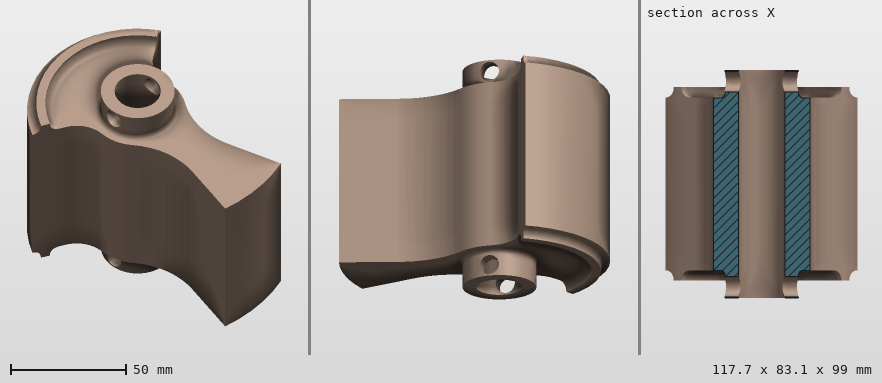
import cadquery as cq
import math

drum_radius = 48.0
drum_half_angle = 60
arm_radius = 69.7
arm_half_angle = 15
hub_radius = 21.0
drum_blend_radius = 15.0
arm_blend_radius = 35.0

body_height = 75.0
total_height = 99.0
rim_height = 4.5

rim_fillet = 4.0
rim_outer_radius = drum_radius - rim_fillet
rim_inner_radius = 40.0
rim_floor_radius = rim_inner_radius - rim_fillet

collar_radius = 32.0 / 2
collar_fillet = 2.0
bore_diameter = 20.0
pin_diameter = 8.6
pin_end_distance = 5.1

half_body = body_height / 2
half_total = total_height / 2


def polar(radius, degrees):
    angle = math.radians(degrees)
    return (radius * math.cos(angle), radius * math.sin(angle))


def mirrored(point):
    return (point[0], -point[1])


def hub_blend(ray_angle, blend_radius, side):
    """Points on the ray, mid-arc and hub of an arc tangent to a radial line and the hub.

    The arc lies on the given side (+1 counterclockwise, -1 clockwise) of the ray.
    """
    centre_distance = hub_radius + blend_radius
    ray_length = math.sqrt(centre_distance**2 - blend_radius**2)
    swing = math.degrees(math.atan2(blend_radius, ray_length))
    centre_angle = ray_angle + side * swing
    centre = polar(centre_distance, centre_angle)
    mid_angle = centre_angle + 180 + side * (90 - swing) / 2
    mid_offset = polar(blend_radius, mid_angle)
    middle = (centre[0] + mid_offset[0], centre[1] + mid_offset[1])
    return polar(ray_length, ray_angle), middle, polar(hub_radius, centre_angle), centre_angle


def make_body():
    drum_angle = 180 - drum_half_angle
    arm_foot, arm_mid, arm_hub, arm_hub_angle = hub_blend(arm_half_angle, arm_blend_radius, 1)
    drum_foot, drum_mid, drum_hub, drum_hub_angle = hub_blend(drum_angle, drum_blend_radius, -1)
    hub_mid = polar(hub_radius, (arm_hub_angle + drum_hub_angle) / 2)
    arm_corner = polar(arm_radius, arm_half_angle)
    drum_corner = polar(drum_radius, drum_angle)
    outline = (
        cq.Workplane("XY", origin=(0, 0, -half_body))
        .moveTo(*arm_corner)
        .lineTo(*arm_foot)
        .threePointArc(arm_mid, arm_hub)
        .threePointArc(hub_mid, drum_hub)
        .threePointArc(drum_mid, drum_foot)
        .lineTo(*drum_corner)
        .threePointArc((-drum_radius, 0), mirrored(drum_corner))
        .lineTo(*mirrored(drum_foot))
        .threePointArc(mirrored(drum_mid), mirrored(drum_hub))
        .threePointArc(mirrored(hub_mid), mirrored(arm_hub))
        .threePointArc(mirrored(arm_mid), mirrored(arm_foot))
        .lineTo(*mirrored(arm_corner))
        .threePointArc((arm_radius, 0), arm_corner)
        .close()
    )
    return outline.extrude(body_height)


def fillet_middle(wall_radius, fillet, outward):
    """Middle of a concave quarter arc between a vertical wall and the body's top face."""
    inset = fillet * (1 - math.sqrt(0.5))
    return (wall_radius + outward * inset, half_body + inset)


def make_rim():
    """Top rim: a raised ring sector with a concave fillet on both flanks."""
    fillet_top = half_body + rim_fillet
    rim_top = half_body + rim_height
    profile = (
        cq.Workplane("XZ")
        .moveTo(rim_floor_radius, 0)
        .lineTo(rim_floor_radius, half_body)
        .threePointArc(fillet_middle(rim_inner_radius, rim_fillet, -1), (rim_inner_radius, fillet_top))
        .lineTo(rim_inner_radius, rim_top)
        .lineTo(rim_outer_radius, rim_top)
        .lineTo(rim_outer_radius, fillet_top)
        .threePointArc(fillet_middle(rim_outer_radius, rim_fillet, 1), (drum_radius, half_body))
        .lineTo(drum_radius, 0)
        .close()
    )
    sector = profile.revolve(2 * drum_half_angle, (0, 0, 0), (0, 1, 0))
    return sector.rotate((0, 0, 0), (0, 0, 1), 180 - drum_half_angle)


def make_collar():
    """Top collar with a concave fillet at its foot."""
    foot_radius = collar_radius + collar_fillet
    return (
        cq.Workplane("XZ")
        .lineTo(foot_radius, 0)
        .lineTo(foot_radius, half_body)
        .threePointArc(
            fillet_middle(collar_radius, collar_fillet, 1),
            (collar_radius, half_body + collar_fillet),
        )
        .lineTo(collar_radius, half_total)
        .lineTo(0, half_total)
        .close()
        .revolve(360, (0, 0, 0), (0, 1, 0))
    )


def make_pin_hole():
    """Cross hole along Y through the top collar."""
    height = half_total - pin_end_distance
    return cq.Workplane("XZ").center(0, height).circle(pin_diameter / 2).extrude(collar_radius * 2, both=True)


result = make_body()
for feature in (make_rim(), make_collar()):
    result = result.union(feature).union(feature.mirror("XY"))

bore = cq.Workplane("XY").circle(bore_diameter / 2).extrude(total_height, both=True)
result = result.cut(bore)
pin_hole = make_pin_hole()
result = result.cut(pin_hole).cut(pin_hole.mirror("XY"))